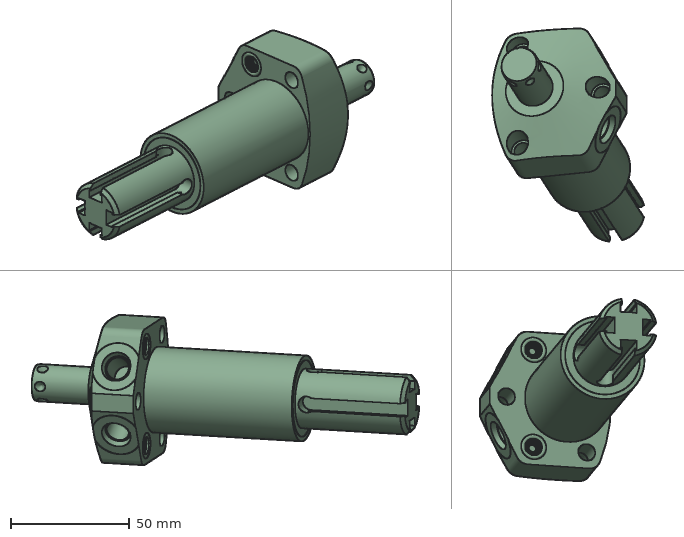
import cadquery as cq
import math


TOTAL_LENGTH = 166.1
REAR_SHAFT_LENGTH = 26.5
FLANGE_THICKNESS = 26.3
BODY_LENGTH = 65.5
SPINDLE_LENGTH = TOTAL_LENGTH - REAR_SHAFT_LENGTH - FLANGE_THICKNESS - BODY_LENGTH
SPINDLE_END = BODY_LENGTH + SPINDLE_LENGTH

FLANGE_HEIGHT = 58.6
FLANGE_HALF_HEIGHT = FLANGE_HEIGHT / 2
FLANGE_RIGHT = 19.3
FLANGE_LEFT = -33.5
NOSE_HALF_HEIGHT = 3.8
SLANT_ANGLE = 62.4
RIGHT_ARC_RADIUS = 73.1
CORNER_RADIUS = 5.2
BACK_CONE_FLAT_RADIUS = 12.6
BACK_CONE_ANGLE = 20.4

BOLT_HOLE_RADIUS = 3.7
BOLT_COUNTERBORE_RADIUS = 4.8
BOLT_COUNTERBORE_FLOOR = FLANGE_THICKNESS / 2
BOLT_HOLES = [(-26.3, 0.0), (8.6, 22.3), (8.6, -22.3)]

PLUG_X = -14.5
PLUG_Z = 21.5
PLUG_RADIUS = 5.5
PLUG_HEIGHT = 0.5
PLUG_RIM_WIDTH = 1.8
SOCKET_STEPS = [(3.7, 1.0), (3.0, 1.5), (2.3, 2.0), (1.7, 3.0)]

PORT_Y = 9.3
PORT_Z = 14.8
PORT_SPOTFACE_RADIUS = 10.5
PORT_SPOTFACE_DEPTH = 0.2
PORT_MOUTH_RADIUS = 6.3
PORT_NECK_RADIUS = 5.5
PORT_NECK_DEPTH = 2.7
PORT_BORE_RADIUS = 4.8
PORT_DEPTH = 16.0

BODY_RADIUS = 18.3
BODY_RECESS_RADIUS = 16.3
BODY_RECESS_DEPTH = 0.2
SPINDLE_DIAMETER = 25.5
SPINDLE_RADIUS = SPINDLE_DIAMETER / 2
SPINDLE_CHAMFER = 1.7
REAR_SHAFT_RADIUS = 8.0
REAR_CHAMFER_LENGTH = 1.2
REAR_CHAMFER_WIDTH = 0.3

SLOT_COUNT = 4
SLOT_FLOOR_RADIUS = 6.1
SLOT_LIP_RADIUS = 9.6
SLOT_MOUTH_WIDTH = 5.6
SLOT_INNER_WIDTH = 7.0
SLOT_ENTRY_OFFSET = 4.8

DIMPLE_COUNT = 6
DIMPLE_RADIUS = 2.3
DIMPLE_OFFSET = 3.8


def revolve_about_y(points):
    """Revolve a closed (radius, y) outline about the Y axis."""
    return cq.Workplane("XY").polyline(points).close().revolve(360, (0, 0, 0), (0, 1, 0))


def turned_parts():
    """Spindle, body and rear shaft turned as one piece."""
    rear_end = FLANGE_THICKNESS + REAR_SHAFT_LENGTH
    recess_floor = -BODY_LENGTH + BODY_RECESS_DEPTH
    return revolve_about_y([
        (0, -SPINDLE_END),
        (SPINDLE_RADIUS - SPINDLE_CHAMFER, -SPINDLE_END),
        (SPINDLE_RADIUS, -SPINDLE_END + SPINDLE_CHAMFER),
        (SPINDLE_RADIUS, recess_floor),
        (BODY_RECESS_RADIUS, recess_floor),
        (BODY_RECESS_RADIUS, -BODY_LENGTH),
        (BODY_RADIUS, -BODY_LENGTH),
        (BODY_RADIUS, 0),
        (REAR_SHAFT_RADIUS, 0),
        (REAR_SHAFT_RADIUS, rear_end - REAR_CHAMFER_LENGTH),
        (REAR_SHAFT_RADIUS - REAR_CHAMFER_WIDTH, rear_end),
        (0, rear_end),
    ])


def flange():
    """Flange plate with rounded corners, a bowed right side and a conical back."""
    slant_run = (FLANGE_HALF_HEIGHT - NOSE_HALF_HEIGHT) / math.tan(math.radians(SLANT_ANGLE))
    top_left = FLANGE_LEFT + slant_run
    bow = RIGHT_ARC_RADIUS - math.sqrt(RIGHT_ARC_RADIUS**2 - FLANGE_HALF_HEIGHT**2)
    top_right = FLANGE_RIGHT - bow
    plate = (
        cq.Workplane("XZ")
        .moveTo(FLANGE_LEFT, -NOSE_HALF_HEIGHT)
        .lineTo(FLANGE_LEFT, NOSE_HALF_HEIGHT)
        .lineTo(top_left, FLANGE_HALF_HEIGHT)
        .lineTo(top_right, FLANGE_HALF_HEIGHT)
        .threePointArc((FLANGE_RIGHT, 0), (top_right, -FLANGE_HALF_HEIGHT))
        .lineTo(top_left, -FLANGE_HALF_HEIGHT)
        .close()
        .extrude(-FLANGE_THICKNESS)
    )
    plate = plate.faces(">Z or <Z").edges("|Y").fillet(CORNER_RADIUS)

    cone_height = FLANGE_THICKNESS + BACK_CONE_FLAT_RADIUS * math.tan(math.radians(BACK_CONE_ANGLE))
    cone_radius = cone_height / math.tan(math.radians(BACK_CONE_ANGLE))
    envelope = revolve_about_y([
        (0, 0),
        (cone_radius, 0),
        (BACK_CONE_FLAT_RADIUS, FLANGE_THICKNESS),
        (0, FLANGE_THICKNESS),
    ])
    return plate.intersect(envelope)


def bolt_holes():
    """Holes through the whole flange, counterbored from the conical back."""
    holes = cq.Workplane("XZ").pushPoints(BOLT_HOLES).circle(BOLT_HOLE_RADIUS).extrude(-FLANGE_THICKNESS)
    counterbores = (
        cq.Workplane("XZ", origin=(0, BOLT_COUNTERBORE_FLOOR, 0))
        .pushPoints(BOLT_HOLES)
        .circle(BOLT_COUNTERBORE_RADIUS)
        .extrude(BOLT_COUNTERBORE_FLOOR - FLANGE_THICKNESS)
    )
    return holes.union(counterbores)


def port_cutter(side):
    """Stepped port entering square to the slanted face above (side 1) or below (side -1)."""
    slant = math.radians(SLANT_ANGLE)
    center_x = FLANGE_LEFT + (PORT_Z - NOSE_HALF_HEIGHT) / math.tan(slant)
    face = cq.Plane(
        origin=(center_x, PORT_Y, side * PORT_Z),
        xDir=(0, 1, 0),
        normal=(math.sin(slant), 0, -side * math.cos(slant)),
    )
    profile = [
        (0, 0),
        (PORT_SPOTFACE_RADIUS, 0),
        (PORT_SPOTFACE_RADIUS, PORT_SPOTFACE_DEPTH),
        (PORT_MOUTH_RADIUS, PORT_SPOTFACE_DEPTH),
        (PORT_NECK_RADIUS, PORT_NECK_DEPTH),
        (PORT_BORE_RADIUS, PORT_NECK_DEPTH),
        (PORT_BORE_RADIUS, PORT_DEPTH),
        (0, PORT_DEPTH),
    ]
    upright = revolve_about_y(profile).rotate((0, 0, 0), (1, 0, 0), 90)
    return cq.Workplane(upright.val().moved(cq.Location(face)))


def plug_rim(z):
    """Round-topped ring standing on the mounting face."""
    outer = PLUG_RADIUS
    inner = PLUG_RADIUS - PLUG_RIM_WIDTH
    middle = (outer + inner) / 2
    return (
        cq.Workplane("XY")
        .moveTo(inner, 0)
        .threePointArc((middle, -PLUG_HEIGHT), (outer, 0))
        .lineTo(outer, PLUG_HEIGHT)
        .lineTo(inner, PLUG_HEIGHT)
        .close()
        .revolve(360, (0, 0, 0), (0, 1, 0))
        .translate((PLUG_X, 0, z))
    )


def plug_socket(z):
    """Stepped round socket inside the rim."""
    center = cq.Workplane("XZ").center(PLUG_X, z)
    socket = cq.Workplane("XZ")
    for radius, depth in SOCKET_STEPS:
        socket = socket.union(center.circle(radius).extrude(-depth))
    return socket


def spindle_slot():
    """Undercut slot on the +Z side, open at the spindle end, with a round entry at the body."""
    entry_y = -BODY_LENGTH - SLOT_ENTRY_OFFSET
    length = SPINDLE_END + entry_y
    middle_y = entry_y - length / 2
    height = BODY_RADIUS - SLOT_FLOOR_RADIUS
    floor = cq.Workplane("XY", origin=(0, 0, SLOT_FLOOR_RADIUS))
    run = floor.center(0, middle_y)
    inner = run.rect(SLOT_INNER_WIDTH, length).extrude(SLOT_LIP_RADIUS - SLOT_FLOOR_RADIUS)
    mouth = run.rect(SLOT_MOUTH_WIDTH, length).extrude(height)
    entry = floor.center(0, entry_y).circle(SLOT_INNER_WIDTH / 2).extrude(height)
    return inner.union(mouth).union(entry)


def shaft_dimple():
    """Conical dimple, as deep as its radius, on the +X side of the rear shaft."""
    y = FLANGE_THICKNESS + REAR_SHAFT_LENGTH - DIMPLE_OFFSET
    cone = cq.Solid.makeCone(
        0,
        2 * DIMPLE_RADIUS,
        2 * DIMPLE_RADIUS,
        pnt=cq.Vector(REAR_SHAFT_RADIUS - DIMPLE_RADIUS, y, 0),
        dir=cq.Vector(1, 0, 0),
    )
    return cq.Workplane(cone)


def around_axis(shape, count):
    """Copies of a shape spaced evenly around the Y axis."""
    return [shape.rotate((0, 0, 0), (0, 1, 0), index * 360 / count) for index in range(count)]


result = turned_parts().union(flange())
result = result.cut(bolt_holes())

for side in (1, -1):
    result = result.cut(port_cutter(side))
    result = result.cut(plug_socket(side * PLUG_Z))
    result = result.union(plug_rim(side * PLUG_Z))

for cutter in around_axis(spindle_slot(), SLOT_COUNT) + around_axis(shaft_dimple(), DIMPLE_COUNT):
    result = result.cut(cutter)